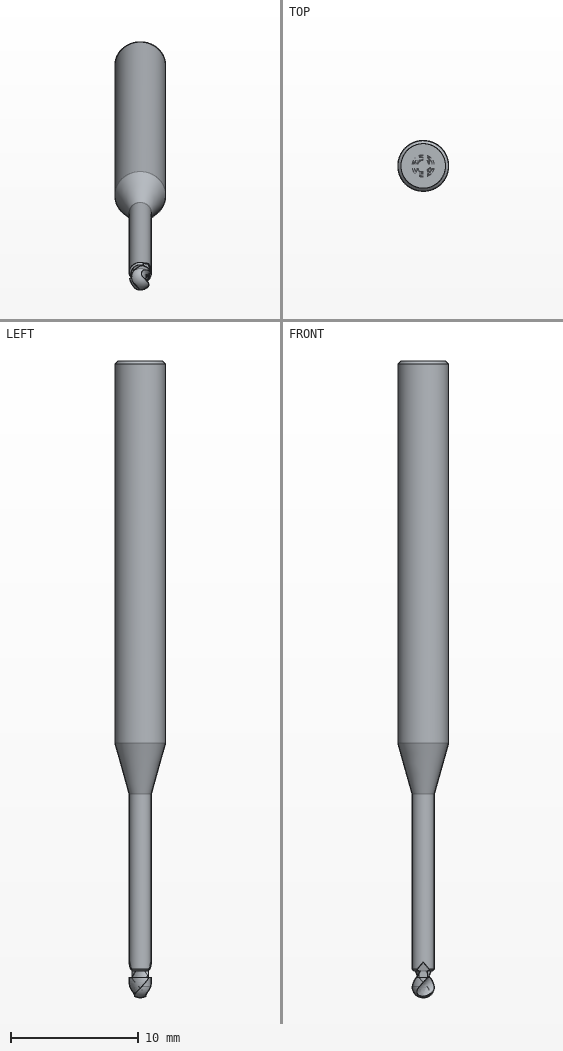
import cadquery as cq

total_length = 50.0
cone_top = 20.0
cone_bottom = 16.0
neck_bottom = 2.25
head_height = 1.6

shank_radius = 2.0
neck_radius = 0.875
core_radius = 0.725
end_chamfer = 0.25
neck_chamfer = neck_radius - core_radius

web_thickness = 0.9
web_width = 3 * neck_radius
twist_rate = 60.0
web_angle_at_joint = 82.0

runout_tip = 2.8
ramp_top = 3.1
ramp_bottom = neck_bottom - neck_chamfer
ramp_floor = 0.65
runout_half_width = 0.6


def make_web(bottom, top):
    """Twisted web whose direction follows the helix at every height."""
    start_angle = web_angle_at_joint + twist_rate * (bottom - head_height)
    height = top - bottom
    return (
        cq.Workplane("XY")
        .rect(web_width, web_thickness)
        .twistExtrude(height, twist_rate * height)
        .rotate((0, 0, 0), (0, 0, 1), start_angle)
        .translate((0, 0, bottom))
    )


def make_runout():
    """Pointed wedge that ramps the flute out through the -Y side of the neck."""
    wedge = (
        cq.Workplane("YZ")
        .moveTo(-neck_radius, ramp_top)
        .lineTo(-ramp_floor, ramp_bottom)
        .lineTo(-ramp_floor, head_height)
        .lineTo(-2 * neck_radius, head_height)
        .lineTo(-2 * neck_radius, ramp_top)
        .close()
        .extrude(neck_radius, both=True)
    )
    pointed_outline = (
        cq.Workplane("XZ")
        .moveTo(0, runout_tip)
        .lineTo(runout_half_width, ramp_bottom)
        .lineTo(runout_half_width, head_height)
        .lineTo(-runout_half_width, head_height)
        .lineTo(-runout_half_width, ramp_bottom)
        .close()
        .extrude(2 * neck_radius)
    )
    return wedge.intersect(pointed_outline)


def make_shank():
    """Shank, cone and neck, with the upper end of the flutes below the neck."""
    shank = (
        cq.Workplane("XZ")
        .moveTo(0, ramp_bottom)
        .lineTo(core_radius, ramp_bottom)
        .lineTo(neck_radius, neck_bottom)
        .lineTo(neck_radius, cone_bottom)
        .lineTo(shank_radius, cone_top)
        .lineTo(shank_radius, total_length - end_chamfer)
        .lineTo(shank_radius - end_chamfer, total_length)
        .lineTo(0, total_length)
        .close()
        .revolve(360, (0, 0, 0), (0, 1, 0))
    )
    core = (
        cq.Workplane("XY", origin=(0, 0, head_height))
        .circle(core_radius)
        .extrude(ramp_bottom - head_height)
        .intersect(make_web(head_height, ramp_bottom))
    )
    shank = shank.union(core)
    for angle in (0, 180):
        shank = shank.cut(make_runout().rotate((0, 0, 0), (0, 0, 1), angle))
    return shank


def make_cutting_head():
    """Ball-nosed cutting head carved into a twisted web."""
    ball_nose = (
        cq.Workplane("XY")
        .circle(neck_radius)
        .extrude(head_height - neck_radius)
        .translate((0, 0, neck_radius))
        .union(cq.Workplane("XY").sphere(neck_radius).translate((0, 0, neck_radius)))
        .intersect(cq.Workplane("XY").rect(web_width, web_width).extrude(head_height))
    )
    return ball_nose.intersect(make_web(0, head_height))


shank = make_shank()
cutting_head = make_cutting_head()
result = cq.Compound.makeCompound([shank.solids().val(), cutting_head.solids().val()])